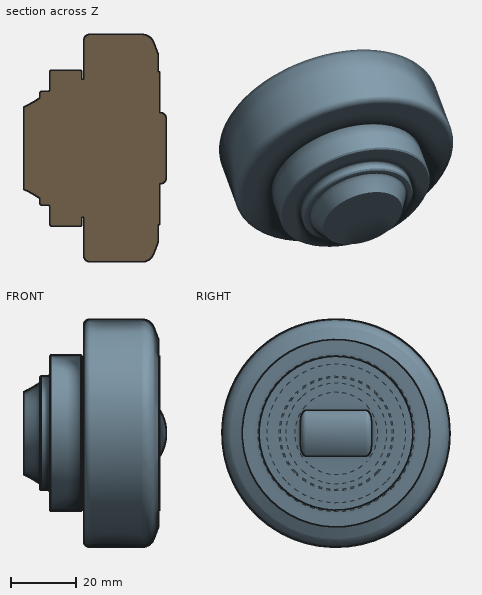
import cadquery as cq
import math


collar_start = 5.0
ring_start = 8.0
ring_end = 18.0
wheel_start = 18.45
wheel_end = 41.5
cap_end = 41.9
roller_tip = 43.95

hub_tip_radius = 12.7
hub_base_radius = 15.5
hub_hollow = 0.15
collar_radius = 17.6
ring_radius = 24.05
neck_radius = 21.3
wheel_radius = 35.05
wheel_end_radius = 28.8
cap_radius = 23.6

edge_chamfer = 0.4
collar_foot_fillet = 0.4
wheel_start_fillet = 1.95
wheel_shoulder_fillet = 3.9
shoulder_slope = math.radians(21)

roller_radius = 13.25
roller_length = 22.0
roller_fillet = 1.9


def disc(start, end, radius):
    return cq.Workplane("YZ").workplane(offset=start).circle(radius).extrude(end - start)


def make_hub():
    middle = (collar_start / 2, (hub_tip_radius + hub_base_radius) / 2 - hub_hollow)
    profile = (
        cq.Workplane("XY")
        .lineTo(0, hub_tip_radius)
        .threePointArc(middle, (collar_start, hub_base_radius))
        .lineTo(collar_start, 0)
        .close()
    )
    return profile.revolve(360, (0, 0, 0), (1, 0, 0))


def make_collar():
    foot_start = ring_start - collar_foot_fillet
    foot_radius = collar_radius + collar_foot_fillet
    foot_middle = (
        ring_start - collar_foot_fillet * (1 - math.sqrt(0.5)),
        foot_radius - collar_foot_fillet * math.sqrt(0.5),
    )
    profile = (
        cq.Workplane("XY")
        .moveTo(collar_start, 0)
        .lineTo(collar_start, collar_radius - edge_chamfer)
        .lineTo(collar_start + edge_chamfer, collar_radius)
        .lineTo(foot_start, collar_radius)
        .threePointArc(foot_middle, (ring_start, foot_radius))
        .lineTo(ring_start, 0)
        .close()
    )
    return profile.revolve(360, (0, 0, 0), (1, 0, 0))


def make_ring():
    return disc(ring_start, ring_end, ring_radius).edges().chamfer(edge_chamfer)


def make_wheel():
    slope_start = wheel_end - (wheel_radius - wheel_end_radius) * math.tan(shoulder_slope)
    profile = (
        cq.Workplane("XY")
        .moveTo(wheel_start, 0)
        .lineTo(wheel_start, wheel_radius)
        .lineTo(slope_start, wheel_radius)
        .lineTo(wheel_end, wheel_end_radius)
        .lineTo(wheel_end, 0)
        .close()
    )
    wheel = profile.revolve(360, (0, 0, 0), (1, 0, 0))
    wheel = wheel.faces("<X").edges().fillet(wheel_start_fillet)
    shoulder_edge = cq.selectors.NearestToPointSelector((slope_start, 0, 0))
    return wheel.edges("%CIRCLE").edges(shoulder_edge).fillet(wheel_shoulder_fillet)


def make_roller():
    roller = (
        cq.Workplane("XZ")
        .center(roller_tip - roller_radius, 0)
        .circle(roller_radius)
        .extrude(roller_length / 2, both=True)
    )
    return roller.edges("%CIRCLE").fillet(roller_fillet)


result = (
    make_hub()
    .union(make_collar())
    .union(make_ring())
    .union(disc(ring_end, wheel_start, neck_radius))
    .union(make_wheel())
    .union(disc(wheel_end, cap_end, cap_radius))
    .union(make_roller())
)